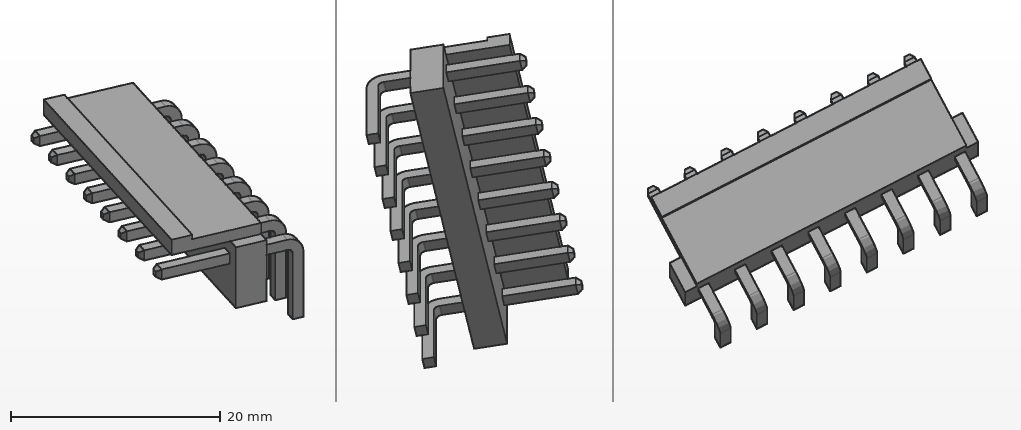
import cadquery as cq


housing_length = 31.62
housing_depth = 3.23
housing_height = 6.77

roof_inset = 1.25
roof_length = housing_length - 2 * roof_inset
roof_depth = 9.42
roof_thickness = 1.23
lip_depth = 2.18
lip_rise = 0.47

pin_count = 8
pin_pitch = 3.95
pin_size = 1.15
pin_drop = 2.0
pin_rear_reach = 4.55
pin_length = 15.45
tail_below_housing = 3.65
bend_inner_radius = 0.57
bend_outer_radius = bend_inner_radius + pin_size
tip_length = 0.5
tip_size = 0.57


def make_housing():
    return cq.Workplane("XY").box(
        housing_length, housing_depth, housing_height, centered=(True, False, False)
    ).translate((0, -housing_depth, 0))


def make_roof():
    """Stepped plate, flush with the rear of the housing and overhanging its front."""
    plate_top = housing_height + roof_thickness
    lip_top = plate_top + lip_rise
    lip_rear = lip_depth - roof_depth
    return (
        cq.Workplane("YZ", origin=(-roof_length / 2, 0, 0))
        .moveTo(0, housing_height)
        .lineTo(0, plate_top)
        .lineTo(lip_rear, plate_top)
        .lineTo(lip_rear, lip_top)
        .lineTo(-roof_depth, lip_top)
        .lineTo(-roof_depth, housing_height)
        .close()
        .extrude(roof_length)
    )


def make_pin(x):
    """Square pin bent down behind the housing, with a pyramidal tip at the front."""
    axis_z = housing_height - pin_drop
    top = axis_z + pin_size / 2
    bottom = axis_z - pin_size / 2
    shank_front = pin_rear_reach - pin_length + tip_length
    tail_inner = pin_rear_reach - pin_size
    bend_start = pin_rear_reach - bend_outer_radius
    bend_end = top - bend_outer_radius

    shank = (
        cq.Workplane("YZ", origin=(x - pin_size / 2, 0, 0))
        .moveTo(shank_front, top)
        .lineTo(bend_start, top)
        .radiusArc((pin_rear_reach, bend_end), bend_outer_radius)
        .lineTo(pin_rear_reach, -tail_below_housing)
        .lineTo(tail_inner, -tail_below_housing)
        .lineTo(tail_inner, bend_end)
        .radiusArc((bend_start, bottom), -bend_inner_radius)
        .lineTo(shank_front, bottom)
        .close()
        .extrude(pin_size)
    )
    tip = (
        cq.Workplane("XZ", origin=(x, shank_front, axis_z))
        .rect(pin_size, pin_size)
        .workplane(offset=tip_length)
        .rect(tip_size, tip_size)
        .loft(ruled=True)
    )
    return shank.union(tip)


result = make_housing().union(make_roof())
for index in range(pin_count):
    pin_x = (index - (pin_count - 1) / 2) * pin_pitch
    result = result.union(make_pin(pin_x))